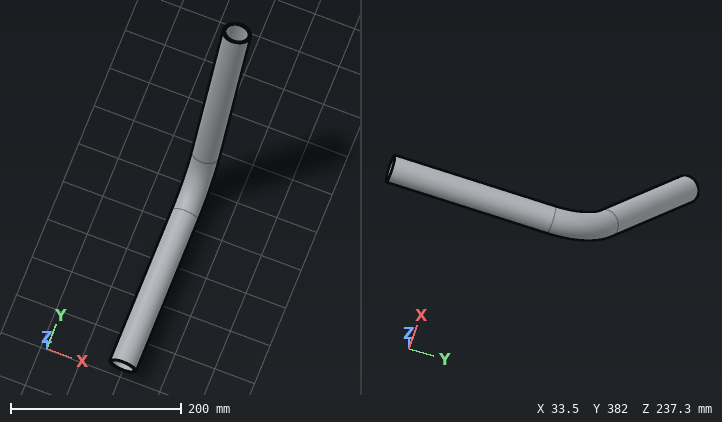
import cadquery as cq
import math

overall_length = 382
outer_diameter = 33.5
wall = 2.6
leg_length = 200.0
bend_angle = 60

outer_radius = outer_diameter / 2
inner_radius = outer_radius - wall
bend = math.radians(bend_angle)

legs_along_y = leg_length * (1 + math.cos(bend))
bend_radius = (overall_length - legs_along_y) / math.sin(bend) - outer_radius


def point_on_bend(angle):
    """Centreline point (Y, Z) after turning through the given angle."""
    return (
        leg_length + bend_radius * math.sin(angle),
        bend_radius * (1 - math.cos(angle)),
    )


bend_end = point_on_bend(bend)
upper_end = (
    bend_end[0] + leg_length * math.cos(bend),
    bend_end[1] + leg_length * math.sin(bend),
)
centreline = (
    cq.Workplane("YZ")
    .lineTo(leg_length, 0)
    .threePointArc(point_on_bend(bend / 2), bend_end)
    .lineTo(*upper_end)
)

result = (
    cq.Workplane("XZ")
    .circle(outer_radius)
    .circle(inner_radius)
    .sweep(centreline)
)